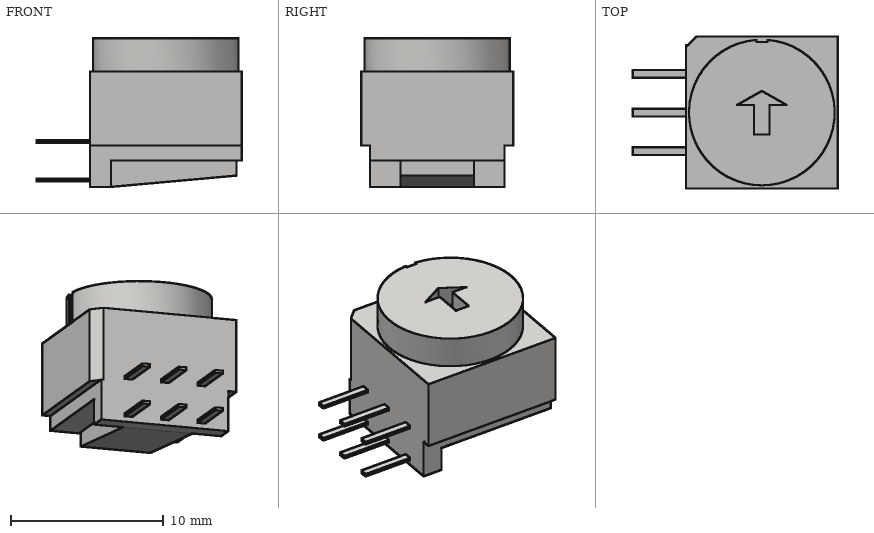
import cadquery as cq

body_side = 10.0
pin_length = 3.5
half_side = body_side / 2
total_height = 9.8
cap_top = 7.61
flange_bottom = 2.73
corner_cut = 0.7

base_width = 8.87
base_bottom = 1.73
front_wall_thickness = 1.4

rib_width = 4.86
rib_end_gap = 0.35
rib_end_bottom = 0.74

knob_diameter = 9.58
knob_radius = knob_diameter / 2
knob_height = total_height - cap_top
notch_width = 0.73
notch_depth = 0.16

arrow_tip = 1.42
arrow_shoulder = 0.5
arrow_tail = -1.45
arrow_head_half_width = 1.62
arrow_stem_half_width = 0.5
arrow_depth = 1.35

pin_pitch = 2.54
pin_width = 0.53
pin_thickness = 0.19
lower_pin_height = 0.46
pin_heights = (lower_pin_height, lower_pin_height + pin_pitch)
pin_offsets = (-pin_pitch, 0, pin_pitch)


def box(x_min, x_max, width, z_min, z_max):
    """Box centred on Y = 0."""
    size_x = x_max - x_min
    return (
        cq.Workplane("XY", origin=((x_min + x_max) / 2, 0, z_min))
        .box(size_x, width, z_max - z_min, centered=(True, True, False))
    )


def make_housing():
    """Square upper housing with one vertical corner cut off."""
    housing = box(-half_side, half_side, body_side, flange_bottom, cap_top)
    return housing.edges("|Z and <X and >Y").chamfer(corner_cut)


def make_base():
    """Base plate with a full-height wall on the pin side."""
    plate = box(-half_side, half_side, base_width, base_bottom, flange_bottom)
    wall = box(-half_side, front_wall_thickness - half_side, base_width, 0, flange_bottom)
    return plate.union(wall)


def make_rib():
    """Rib that becomes shallower away from the pin-side wall."""
    start = front_wall_thickness - half_side
    end = half_side - rib_end_gap
    profile = [(start, 0), (end, rib_end_bottom), (end, base_bottom), (start, base_bottom)]
    return cq.Workplane("XZ").polyline(profile).close().extrude(rib_width / 2, both=True)


def make_knob():
    """Round knob with a full-height index notch in its rim and an arrow pocket in its top."""
    knob = cq.Workplane("XY", origin=(0, 0, cap_top)).circle(knob_radius).extrude(knob_height)
    top = cq.Workplane("XY", origin=(0, 0, total_height))
    notch = top.center(0, knob_radius).rect(notch_width, 2 * notch_depth).extrude(-knob_height)
    right_side = [
        (arrow_head_half_width, arrow_shoulder),
        (arrow_stem_half_width, arrow_shoulder),
        (arrow_stem_half_width, arrow_tail),
    ]
    left_side = [(-x, y) for x, y in reversed(right_side)]
    outline = [(0, arrow_tip)] + right_side + left_side
    arrow = top.polyline(outline).close().extrude(-arrow_depth)
    return knob.cut(notch).cut(arrow)


def make_pin(y, z):
    """Flat straight pin leaving the wall toward -X."""
    pin = box(-half_side - pin_length, -half_side, pin_width, z - pin_thickness / 2, z + pin_thickness / 2)
    return pin.translate((0, y, 0))


result = make_housing().union(make_base()).union(make_rib()).union(make_knob())
for pin_y in pin_offsets:
    for pin_z in pin_heights:
        result = result.union(make_pin(pin_y, pin_z))